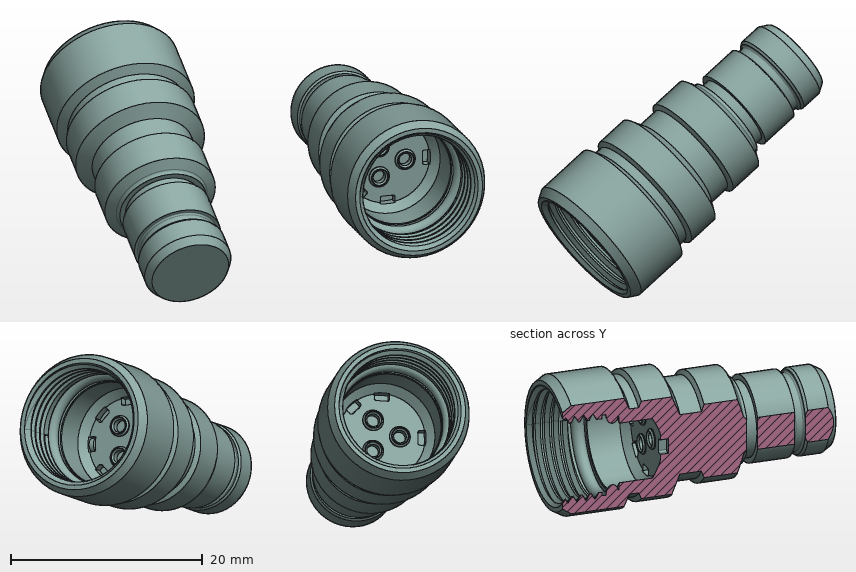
import cadquery as cq
import math

LENGTH = 30.5
SHOULDER_ANGLE = math.radians(60)
END_CHAMFER_ANGLE = math.radians(30)
STEEP = math.tan(SHOULDER_ANGLE)
SHALLOW = math.tan(END_CHAMFER_ANGLE)

COUPLING_R = 7.5
FRONT_GROOVE_R = 6.5
COLLAR_R = 7.0
WAIST_R = 5.5
RING_R = 6.0
TAIL_R = 4.7
TAIL_NECK_R = 4.12
TAIL_GROOVE_R = 4.18

FRONT_CHAMFER_X = 0.98
COUPLING_END_X = 6.9
COLLAR_START_X = 8.48
COLLAR_END_X = 12.2
RING_START_X = 15.45
RING_END_X = 19.5
RING_FOOT_X = 20.53
TAIL_START_X = 21.72
TAIL_GROOVE_START_X = 25.85
TAIL_GROOVE_END_X = 27.02
TAIL_CHAMFER_X = 29.6
RING_FOOT_FILLET = 0.5
TAIL_GROOVE_FILLET = 0.18
TAIL_LIP_DEPTH = 0.18
TAIL_LIP_LENGTH = 0.27

THREAD_PITCH = 1.0
THREAD_ROOT_R = 6.47
THREAD_CREST_R = 5.98
THREAD_OVERLAP = 0.1
THREAD_GROOVE_WIDTH = 0.95
THREAD_TURNS = 4
THREAD_END_X = 4.42
SEAL_CENTER_X = 5.58
SEAL_CENTER_R = 6.25
SEAL_SECTION_R = 0.73
SEAL_WALL_X = 6.28
SOCKET_R = 5.45
SOCKET_R_LEAD = 0.1
SOCKET_CONE_X = 10.0
FLOOR_R = 4.58
FLOOR_X = SOCKET_CONE_X + SOCKET_R - FLOOR_R

KEYWAY_WIDTH = 1.6
KEYWAY_INNER_R = 3.8
KEYWAY_OUTER_R = 4.67
KEYWAY_DEPTH = 0.9
KEYWAY_CORNER_R = 0.2
KEYWAY_ANGLES = (0, 45, 90, 180, 270, 315)
KEY_INNER_R = 4.15
KEY_ROOT = 0.15
CONTACT_COUNT = 3
CONTACT_CIRCLE_R = 1.9
CONTACT_R = 1.1
CONTACT_HEIGHT = 0.3
CONTACT_CHAMFER = 0.18
CONTACT_BORE_R = 0.67
CONTACT_BORE_DEPTH = 0.9
CONTACT_LEAD = 0.18


def revolve_about_x(profile):
    return profile.close().revolve(360, (0, 0, 0), (1, 0, 0))


def cylinder_along_x(radius, start_x, end_x):
    return cq.Workplane("YZ", origin=(start_x, 0, 0)).circle(radius).extrude(end_x - start_x)


def outer_body():
    """Solid turned body with its collars, necks and tail groove."""
    ring_corner_x = RING_END_X + (RING_R - TAIL_R) / STEEP
    tangent = RING_FOOT_FILLET * math.tan(SHOULDER_ANGLE / 2)
    fillet_start = (
        ring_corner_x - tangent * math.cos(SHOULDER_ANGLE),
        TAIL_R + tangent * math.sin(SHOULDER_ANGLE),
    )
    fillet_end = (ring_corner_x + tangent, TAIL_R)
    fillet_mid = (
        fillet_end[0] - RING_FOOT_FILLET * math.sin(SHOULDER_ANGLE / 2),
        TAIL_R + RING_FOOT_FILLET * (1 - math.cos(SHOULDER_ANGLE / 2)),
    )
    groove_fillet_r = TAIL_GROOVE_R + TAIL_GROOVE_FILLET
    profile = (
        cq.Workplane("XY")
        .moveTo(0, 0)
        .lineTo(0, COUPLING_R - FRONT_CHAMFER_X * SHALLOW)
        .lineTo(FRONT_CHAMFER_X, COUPLING_R)
        .lineTo(COUPLING_END_X, COUPLING_R)
        .lineTo(COUPLING_END_X + (COUPLING_R - FRONT_GROOVE_R) / STEEP, FRONT_GROOVE_R)
        .lineTo(COLLAR_START_X, FRONT_GROOVE_R)
        .lineTo(COLLAR_START_X + (COLLAR_R - FRONT_GROOVE_R) / STEEP, COLLAR_R)
        .lineTo(COLLAR_END_X, COLLAR_R)
        .lineTo(COLLAR_END_X + (COLLAR_R - WAIST_R) / STEEP, WAIST_R)
        .lineTo(RING_START_X, WAIST_R)
        .lineTo(RING_START_X + (RING_R - WAIST_R) / STEEP, RING_R)
        .lineTo(RING_END_X, RING_R)
        .lineTo(*fillet_start)
        .threePointArc(fillet_mid, fillet_end)
        .lineTo(RING_FOOT_X, TAIL_R)
        .lineTo(RING_FOOT_X, TAIL_NECK_R)
        .lineTo(TAIL_START_X, TAIL_NECK_R)
        .lineTo(TAIL_START_X, TAIL_R)
        .lineTo(TAIL_GROOVE_START_X, TAIL_R)
        .lineTo(TAIL_GROOVE_START_X, groove_fillet_r)
        .radiusArc((TAIL_GROOVE_START_X + TAIL_GROOVE_FILLET, TAIL_GROOVE_R), -TAIL_GROOVE_FILLET)
        .lineTo(TAIL_GROOVE_END_X - TAIL_GROOVE_FILLET, TAIL_GROOVE_R)
        .radiusArc((TAIL_GROOVE_END_X, groove_fillet_r), -TAIL_GROOVE_FILLET)
        .lineTo(TAIL_GROOVE_END_X, TAIL_R - TAIL_LIP_DEPTH)
        .lineTo(TAIL_GROOVE_END_X + TAIL_LIP_LENGTH, TAIL_R)
        .lineTo(TAIL_CHAMFER_X, TAIL_R)
        .lineTo(LENGTH, TAIL_R - (LENGTH - TAIL_CHAMFER_X) * SHALLOW)
        .lineTo(LENGTH, 0)
    )
    return revolve_about_x(profile)


def socket():
    """Space inside the shell; the sealing ring bulges into it between thread and bore."""
    seal_reach = SEAL_WALL_X - SEAL_CENTER_X
    seal_back_r = SEAL_CENTER_R - math.sqrt(SEAL_SECTION_R**2 - seal_reach**2)
    profile = (
        cq.Workplane("XY")
        .moveTo(0, 0)
        .lineTo(0, THREAD_ROOT_R)
        .lineTo(THREAD_ROOT_R - THREAD_CREST_R, THREAD_CREST_R)
        .lineTo(THREAD_END_X, THREAD_CREST_R)
        .lineTo(THREAD_END_X, SEAL_CENTER_R)
        .lineTo(SEAL_CENTER_X - SEAL_SECTION_R, SEAL_CENTER_R)
        .threePointArc((SEAL_CENTER_X, SEAL_CENTER_R - SEAL_SECTION_R), (SEAL_WALL_X, seal_back_r))
        .lineTo(SEAL_WALL_X, SOCKET_R + SOCKET_R_LEAD)
        .lineTo(SEAL_WALL_X + SOCKET_R_LEAD, SOCKET_R)
        .lineTo(SOCKET_CONE_X, SOCKET_R)
        .lineTo(FLOOR_X, FLOOR_R)
        .lineTo(FLOOR_X, 0)
    )
    return revolve_about_x(profile)


def thread_turn(start_x):
    """One full turn of the helical V groove, starting on the +Y side at start_x."""
    inner_r = THREAD_CREST_R - THREAD_OVERLAP
    half_width = THREAD_GROOVE_WIDTH / 2
    helix = cq.Wire.makeHelix(
        THREAD_PITCH, THREAD_PITCH, THREAD_CREST_R,
        center=cq.Vector(start_x, 0, 0), dir=cq.Vector(1, 0, 0),
    )
    section = cq.Wire.makePolygon(
        [
            cq.Vector(start_x - half_width, 0, inner_r),
            cq.Vector(start_x, 0, THREAD_ROOT_R),
            cq.Vector(start_x + half_width, 0, inner_r),
        ],
        close=True,
    )
    turn = cq.Workplane(cq.Solid.sweep(section, [], helix, True, True))
    return turn.rotate((0, 0, 0), (1, 0, 0), -90)


def keyway(angle):
    """Pocket at the floor's rim, with rounded inner corners and a concentric outer wall."""
    bottom_x = FLOOR_X + KEYWAY_DEPTH
    top_x = FLOOR_X - KEYWAY_DEPTH
    pocket = (
        cq.Workplane("YZ", origin=(top_x, 0, 0))
        .center(KEYWAY_INNER_R, 0)
        .rect(KEYWAY_OUTER_R, KEYWAY_WIDTH, centered=(False, True))
        .extrude(bottom_x - top_x)
        .edges("|X and <Y")
        .fillet(KEYWAY_CORNER_R)
    )
    rim = cylinder_along_x(KEYWAY_OUTER_R, top_x, bottom_x)
    return pocket.intersect(rim).rotate((0, 0, 0), (1, 0, 0), angle)


def key():
    """Half-round key lying radially in the +Y keyway."""
    return (
        cq.Workplane("XZ", origin=(FLOOR_X + KEYWAY_DEPTH, KEY_INNER_R, 0))
        .circle(KEYWAY_WIDTH / 2)
        .extrude(KEY_INNER_R - KEYWAY_OUTER_R - KEY_ROOT)
    )


def contact_centers():
    step = 2 * math.pi / CONTACT_COUNT
    return [
        (-CONTACT_CIRCLE_R * math.cos(i * step), CONTACT_CIRCLE_R * math.sin(i * step))
        for i in range(CONTACT_COUNT)
    ]


def contact_sleeves():
    front_x = FLOOR_X - CONTACT_HEIGHT
    return (
        cq.Workplane("YZ", origin=(front_x, 0, 0))
        .pushPoints(contact_centers())
        .circle(CONTACT_R)
        .extrude(2 * CONTACT_HEIGHT)
        .faces("<X")
        .chamfer(CONTACT_CHAMFER)
    )


def contact_bores():
    """Blind bores of the contacts, each with a 45-degree lead-in."""
    front_x = FLOOR_X - CONTACT_HEIGHT
    straight = cylinder_along_x(CONTACT_BORE_R, front_x, front_x + CONTACT_BORE_DEPTH)
    mouth_r = CONTACT_BORE_R + CONTACT_LEAD
    axis = cq.Vector(1, 0, 0)
    lead_in = cq.Solid.makeCone(mouth_r, CONTACT_BORE_R, CONTACT_LEAD, cq.Vector(front_x, 0, 0), axis)
    bore = straight.union(cq.Workplane(lead_in)).val()
    return [bore.translate(cq.Vector(0, y, z)) for y, z in contact_centers()]


result = outer_body().cut(socket())
for turn_index in range(THREAD_TURNS):
    result = result.cut(thread_turn(turn_index * THREAD_PITCH))
for keyway_angle in KEYWAY_ANGLES:
    result = result.cut(keyway(keyway_angle))
result = result.union(key()).union(contact_sleeves())
for contact_bore in contact_bores():
    result = result.cut(cq.Workplane(contact_bore))